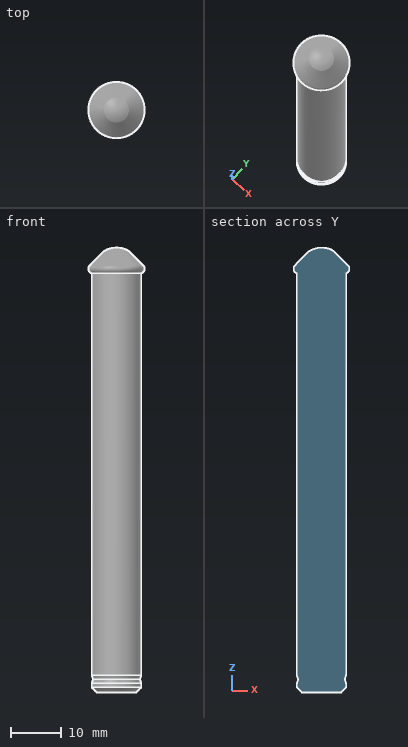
import cadquery as cq
import math

total_length = 88.7
body_radius = 5.0
rim_radius = 5.63
rim_round = 1.0
rim_height = 84.4
dome_radius = 2.5
cap_joint_height = 72.0
end_chamfer = 1.1
groove_bottom = 1.9
groove_top = 3.5
groove_depth = 0.3

rim_center_radius = rim_radius - rim_round
tangent_offset = rim_round * math.sin(math.radians(45))
cone_foot_radius = rim_center_radius + tangent_offset
cone_foot_height = rim_height + tangent_offset
dome_foot_height = cone_foot_height + cone_foot_radius - dome_radius

rim_overlap = body_radius - rim_center_radius
rim_foot_height = rim_height - math.sqrt(rim_round**2 - rim_overlap**2)

dome_height = total_length - dome_foot_height
sphere_radius = (dome_radius**2 + dome_height**2) / (2 * dome_height)
dome_mid_radius = dome_radius / 2
dome_mid_height = total_length - sphere_radius + math.sqrt(sphere_radius**2 - dome_mid_radius**2)

groove_middle = (groove_bottom + groove_top) / 2
outline = (
    cq.Workplane("XZ")
    .moveTo(0, 0)
    .lineTo(body_radius - end_chamfer, 0)
    .lineTo(body_radius, end_chamfer)
    .lineTo(body_radius, groove_bottom)
    .lineTo(body_radius - groove_depth, groove_middle)
    .lineTo(body_radius, groove_top)
    .lineTo(body_radius, cap_joint_height)
    .lineTo(body_radius, rim_foot_height)
    .threePointArc((rim_radius, rim_height), (cone_foot_radius, cone_foot_height))
    .lineTo(dome_radius, dome_foot_height)
    .threePointArc((dome_mid_radius, dome_mid_height), (0, total_length))
    .close()
)

result = outline.revolve(360, (0, 0, 0), (0, 1, 0))